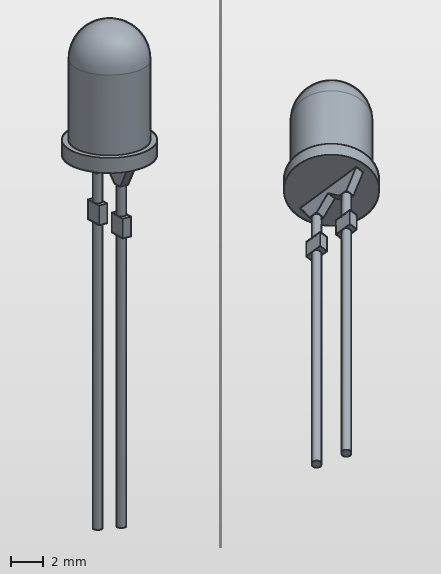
import cadquery as cq
import math

lens_radius = 2.5
flange_radius = 2.9
flange_height = 1.0
lens_top = 8.8
dome_start = lens_top - lens_radius

lead_diameter = 0.6
lead_radius = lead_diameter / 2
lead_pitch = 2.54
lead_x = lead_pitch / 2
long_lead_length = 25.0
short_lead_length = 24.0

stop_width = 1.2
stop_height = 1.3
stop_depth = 3.5

web_thickness = lead_diameter
web_height = 1.5
web_top_half_width = 2.4
notch_apex_depth = 0.5


def make_lens():
    """Flanged cylinder with a hemispherical dome, revolved about Z."""
    dome_mid = lens_radius * math.sin(math.radians(45))
    profile = (
        cq.Workplane("XZ")
        .lineTo(flange_radius, 0)
        .lineTo(flange_radius, flange_height)
        .lineTo(lens_radius, flange_height)
        .lineTo(lens_radius, dome_start)
        .threePointArc((dome_mid, dome_start + dome_mid), (0, lens_top))
        .close()
    )
    return profile.revolve(360, (0, 0, 0), (0, 1, 0))


def make_web():
    """Plate that tapers down to both leads, with a V notch between them."""
    outer_x = lead_x + lead_radius
    inner_x = lead_x - lead_radius
    outline = [
        (-web_top_half_width, 0),
        (-outer_x, -web_height),
        (-inner_x, -web_height),
        (0, -notch_apex_depth),
        (inner_x, -web_height),
        (outer_x, -web_height),
        (web_top_half_width, 0),
    ]
    return cq.Workplane("XZ").polyline(outline).close().extrude(web_thickness / 2, both=True)


def make_lead(x, length):
    """Round lead running from the web to its tip, with its stop block."""
    lead = (
        cq.Workplane("XY", origin=(x, 0, -length))
        .circle(lead_radius)
        .extrude(length - web_height)
    )
    stop = (
        cq.Workplane("XY", origin=(x, 0, -stop_depth - stop_height))
        .rect(stop_width, lead_diameter)
        .extrude(stop_height)
    )
    return lead.union(stop)


result = make_lens().union(make_web())
for x, length in ((-lead_x, long_lead_length), (lead_x, short_lead_length)):
    result = result.union(make_lead(x, length))